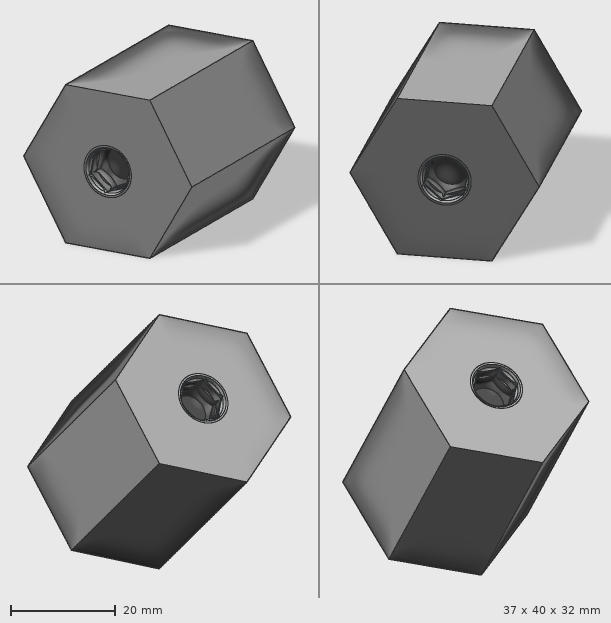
import cadquery as cq
import math

LENGTH = 40.0
HOUSING_FLATS = 32.0

INSERT_DIAMETER = 10.4
INSERT_LENGTH = 12.0

SOCKET_FLATS = 8.0
SOCKET_TURN = 20.0
SOCKET_BOTTOM_RADIUS = 3.35
SOCKET_CONE_START = 4.8
SOCKET_CONE_START_RADIUS = 4.8
CONE_DEPTH = SOCKET_CONE_START_RADIUS - SOCKET_BOTTOM_RADIUS
SOCKET_DEPTH = SOCKET_CONE_START + CONE_DEPTH

MOUTH_RADIUS = 4.8
MOUTH_TAPER_RADIUS = 4.5
MOUTH_TAPER_DEPTH = 0.55
MOUTH_FILLET = 0.4

GROOVE_START_RADIUS = 4.8
GROOVE_END_RADIUS = 4.4
GROOVE_START = 1.35
GROOVE_END = 3.5


def hexagon_prism(flats, length, turn=0.0):
    """Hexagonal prism from Y = 0 towards +Y, turned about the Y axis."""
    corners_diameter = flats / math.cos(math.pi / 6)
    prism = cq.Workplane("XZ").polygon(6, corners_diameter).extrude(-length)
    return prism.rotate((0, 0, 0), (0, 1, 0), -turn)


def cylinder(radius, start, end):
    """Cylinder about the Y axis between two depths."""
    return cq.Workplane("XZ", origin=(0, start, 0)).circle(radius).extrude(start - end)


def revolve_about_y(profile):
    """Solid of revolution from a closed profile of (radius, depth) points."""
    return profile.close().revolve(360, (0, 0, 0), (0, 1, 0))


def socket_hexagon():
    """Hexagonal part of the socket, its end trimmed by the cone."""
    trim = revolve_about_y(
        cq.Workplane("XY")
        .lineTo(SOCKET_CONE_START_RADIUS, 0)
        .lineTo(SOCKET_CONE_START_RADIUS, SOCKET_CONE_START)
        .lineTo(SOCKET_BOTTOM_RADIUS, SOCKET_DEPTH)
        .lineTo(0, SOCKET_DEPTH)
    )
    return hexagon_prism(SOCKET_FLATS, SOCKET_DEPTH, SOCKET_TURN).intersect(trim)


def socket_mouth():
    """Round, tapered recess at the open end of the socket."""
    floor_depth = MOUTH_TAPER_DEPTH + MOUTH_FILLET
    floor_radius = MOUTH_TAPER_RADIUS - MOUTH_FILLET
    bulge = MOUTH_FILLET * math.sqrt(0.5)
    return revolve_about_y(
        cq.Workplane("XY")
        .lineTo(MOUTH_RADIUS, 0)
        .lineTo(MOUTH_TAPER_RADIUS, MOUTH_TAPER_DEPTH)
        .threePointArc(
            (floor_radius + bulge, MOUTH_TAPER_DEPTH + bulge),
            (floor_radius, floor_depth),
        )
        .lineTo(0, floor_depth)
    )


def socket_groove():
    """Round groove that narrows slightly with depth."""
    return revolve_about_y(
        cq.Workplane("XY")
        .moveTo(0, GROOVE_START)
        .lineTo(GROOVE_START_RADIUS, GROOVE_START)
        .lineTo(GROOVE_END_RADIUS, GROOVE_END)
        .lineTo(0, GROOVE_END)
    )


def make_insert():
    """Insert at the Y = 0 end, with its socket open towards -Y."""
    sleeve = cylinder(INSERT_DIAMETER / 2, 0, INSERT_LENGTH)
    return sleeve.cut(socket_mouth()).cut(socket_hexagon()).cut(socket_groove())


def make_housing():
    """Hexagonal bar with a blind bore for an insert in each end."""
    bar = hexagon_prism(HOUSING_FLATS, LENGTH)
    front_bore = cylinder(INSERT_DIAMETER / 2, 0, INSERT_LENGTH)
    back_bore = cylinder(INSERT_DIAMETER / 2, LENGTH - INSERT_LENGTH, LENGTH)
    return bar.cut(front_bore).cut(back_bore)


housing = make_housing()

inserts = []
for half_turn in (0, 180):
    insert = make_insert().rotate((0, LENGTH / 2, 0), (0, LENGTH / 2, 1), half_turn)
    inserts.append(insert.val())

result = cq.Compound.makeCompound([housing.val(), *inserts])